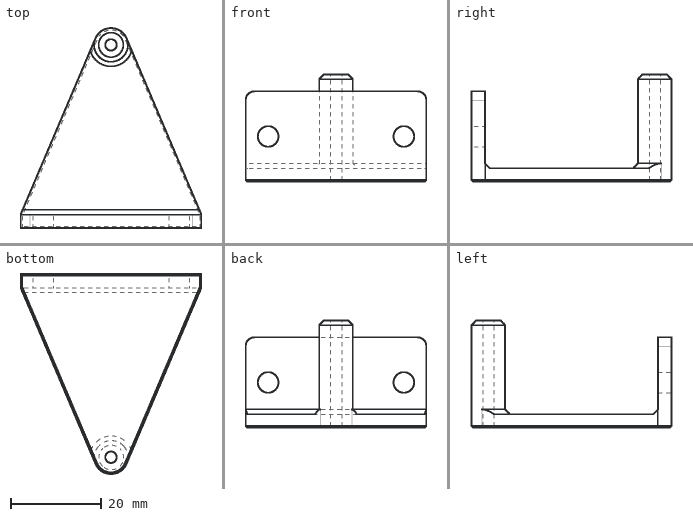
import cadquery as cq
import math

wall_width = 40.0
wall_height = 20.0
wall_thickness = 3.0
wall_corner_radius = 2.0
wall_hole_diameter = 4.5
wall_hole_spacing = 30.0

total_depth = 44.25
arm_thickness = 3.0

post_diameter = 7.5
post_height = 23.7
post_bore_diameter = 2.5
post_chamfer = 1.0

joint_size = 1.0
bottom_chamfer = 0.4

half_width = wall_width / 2
post_radius = post_diameter / 2
post_y = total_depth - post_radius


def make_wall():
    wall = cq.Workplane("XY").box(wall_width, wall_thickness, wall_height, centered=(True, False, False))
    return wall.edges("|Y and >Z").fillet(wall_corner_radius)


def arm_prism(height):
    """Arm outline, with sides tangent to the post, extruded up from Z = 0."""
    run = post_y - wall_thickness
    corner_distance = math.hypot(half_width, run)
    tangent_angle = math.acos(post_radius / corner_distance) - math.atan2(run, half_width)
    tangent_x = post_radius * math.cos(tangent_angle)
    tangent_y = post_y + post_radius * math.sin(tangent_angle)
    return (
        cq.Workplane("XY")
        .moveTo(-half_width, wall_thickness)
        .lineTo(half_width, wall_thickness)
        .lineTo(tangent_x, tangent_y)
        .threePointArc((0, total_depth), (-tangent_x, tangent_y))
        .close()
        .extrude(height)
    )


def make_post():
    post = cq.Workplane("XY").center(0, post_y).circle(post_radius).extrude(post_height)
    return post.faces(">Z").chamfer(post_chamfer)


def make_joints():
    """Sloped reinforcements at the wall and post, trimmed to the arm outline."""
    wall_joint = (
        cq.Workplane("YZ")
        .moveTo(wall_thickness, arm_thickness)
        .lineTo(wall_thickness + joint_size, arm_thickness)
        .lineTo(wall_thickness, arm_thickness + joint_size)
        .close()
        .extrude(half_width, both=True)
    )
    post_joint = cq.Workplane(
        cq.Solid.makeCone(
            post_radius + joint_size,
            post_radius,
            joint_size,
            pnt=cq.Vector(0, post_y, arm_thickness),
        )
    )
    return wall_joint.union(post_joint).intersect(arm_prism(arm_thickness + joint_size))


def wall_holes():
    return (
        cq.Workplane("XZ")
        .center(0, wall_height / 2)
        .rarray(wall_hole_spacing, 0.45, 2, 1)
        .circle(wall_hole_diameter / 2)
        .extrude(-wall_thickness)
    )


def post_bore():
    return cq.Workplane("XY").center(0, post_y).circle(post_bore_diameter / 2).extrude(post_height)


body = make_wall().union(arm_prism(arm_thickness)).union(make_post()).union(make_joints()).clean()
body = body.faces("<Z").chamfer(bottom_chamfer)
result = body.cut(wall_holes()).cut(post_bore())